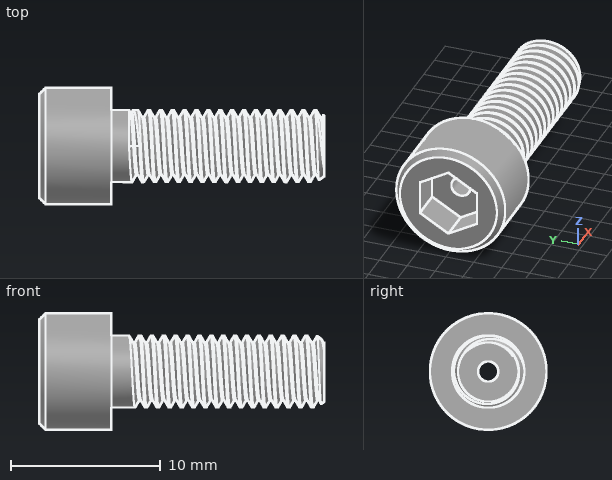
import cadquery as cq
import math

total_length = 19.05
head_diameter = 7.81
head_length = 4.82
head_chamfer = 0.44
socket_across_flats = 4.08
socket_depth = 2.29
vent_diameter = 1.33

shank_diameter = 4.84
threads_per_screw_length = 24
thread_depth = 0.48
root_flat = 0.13
full_thread_start = 6.35
runout_turns = 0.39
spare_turns = 3
cutter_overlap = 0.029
tip_chamfer_length = 0.53
tip_chamfer_depth = 0.4
trim_margin = 0.2

flank_angle = 30.0
shank_radius = shank_diameter / 2
root_radius = shank_radius - thread_depth
pitch = total_length / threads_per_screw_length

thread_plane = cq.Plane(origin=(full_thread_start, 0, 0), xDir=(0, 0, 1), normal=(1, 0, 0))


def make_head():
    head = cq.Workplane("YZ").circle(head_diameter / 2).extrude(head_length)
    return head.faces("<X").chamfer(head_chamfer)


def make_socket():
    across_corners = socket_across_flats / math.cos(math.radians(30))
    socket = cq.Workplane("YZ").polygon(6, across_corners).extrude(socket_depth)
    return socket.rotate((0, 0, 0), (1, 0, 0), 90)


def make_vent():
    return cq.Workplane("YZ").circle(vent_diameter / 2).extrude(total_length)


def groove_profile(inner_radius):
    """Trapezoid in the local XZ plane with its small flat at inner_radius."""
    height = thread_depth + cutter_overlap
    inner_half = root_flat / 2
    outer_half = inner_half + height * math.tan(math.radians(flank_angle))
    outer_radius = inner_radius + height
    return cq.Workplane("XZ").polyline([
        (inner_radius, -inner_half),
        (outer_radius, -outer_half),
        (outer_radius, outer_half),
        (inner_radius, inner_half),
    ]).close()


def sweep_groove(inner_radius, path):
    return groove_profile(inner_radius).sweep(cq.Workplane(path), isFrenet=True)


def make_full_groove():
    turns = math.ceil((total_length - full_thread_start) / pitch) + 1
    path = cq.Wire.makeHelix(pitch, turns * pitch, root_radius)
    groove = sweep_groove(root_radius, path)
    return cq.Workplane(groove.val().moved(thread_plane.location))


def make_runout():
    taper_angle = 90 - flank_angle
    length = runout_turns * pitch
    start_radius = root_radius + length * math.tan(math.radians(taper_angle))
    slope_pitch = pitch / math.cos(math.radians(taper_angle))
    path = cq.Wire.makeHelix(slope_pitch, runout_turns * slope_pitch, start_radius, angle=-taper_angle)
    runout = sweep_groove(start_radius, path)
    runout = runout.rotate((0, 0, 0), (0, 0, 1), -360 * runout_turns).translate((0, 0, -length))
    return cq.Workplane(runout.val().moved(thread_plane.location))


def make_tip_trim():
    """Cylinder around the shank whose end cone carries on the tip chamfer."""
    trim_depth = tip_chamfer_depth + trim_margin
    trim_length = tip_chamfer_length * trim_depth / tip_chamfer_depth
    trim_radius = shank_radius + trim_margin
    return (
        cq.Workplane("XY")
        .polyline([
            (0, 0),
            (0, trim_radius),
            (total_length - trim_length, trim_radius),
            (total_length, trim_radius - trim_depth),
            (total_length, 0),
        ])
        .close()
        .revolve(360, (0, 0, 0), (1, 0, 0))
    )


def make_shank():
    bar = cq.Workplane("YZ").circle(shank_radius).extrude(total_length + spare_turns * pitch)
    threaded_bar = bar.cut(make_runout()).cut(make_full_groove())
    return threaded_bar.intersect(make_tip_trim())


result = make_head().union(make_shank()).cut(make_socket()).cut(make_vent())